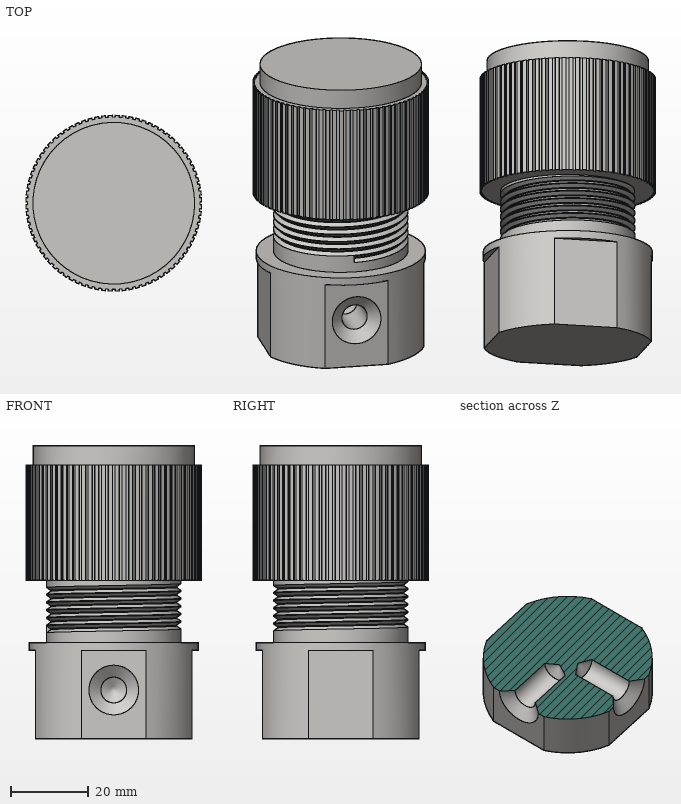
import cadquery as cq
import math

TOTAL_HEIGHT = 76.2
BODY_HEIGHT = 25.0
CAP_HEIGHT = 5.0
KNOB_HEIGHT = 30.0
CAP_BASE_Z = TOTAL_HEIGHT - CAP_HEIGHT
KNOB_BASE_Z = CAP_BASE_Z - KNOB_HEIGHT

BODY_DIAMETER = 44.0
NECK_DIAMETER = 35.0
KNOB_DIAMETER = 45.7
CAP_DIAMETER = 42.0

FLANGE_THICKNESS = 2.0
FLATS_ACROSS = 40.7
FLAT_HEIGHT = BODY_HEIGHT - FLANGE_THICKNESS

PORT_Z = 12.7
PORT_MOUTH_DIAMETER = 12.9
PORT_BORE_DIAMETER = 6.7
PORT_BORE_DEPTH = 15.0
PORT_MOUTH_ANGLE = 100.0
PORT_TIP_ANGLE = 118.0

THREAD_PITCH = 2.0
THREAD_TURNS = 6
THREAD_START_Z = 28.45
THREAD_GROOVE_WIDTH = 1.8
THREAD_ROOT_WIDTH = 0.25
THREAD_GROOVE_DEPTH = 1.1
THREAD_START_ANGLE = 180.0

GRIP_GROOVE_COUNT = 80
GRIP_GROOVE_WIDTH = 0.7
GRIP_GROOVE_DEPTH = 0.45

CLEARANCE = 0.2


def cylinder(diameter, base_z, top_z):
    """Upright cylinder on the Z axis."""
    return cq.Workplane("XY").workplane(offset=base_z).circle(diameter / 2).extrude(top_z - base_z)


def cone_length(large_diameter, small_diameter, included_angle):
    """Axial length of a cone between two diameters."""
    return (large_diameter - small_diameter) / 2 / math.tan(math.radians(included_angle / 2))


def make_port_cutter():
    """Port cutter along X, entering through the -X flat with a drill-point end short of the body axis."""
    mouth_radius = PORT_MOUTH_DIAMETER / 2
    bore_radius = PORT_BORE_DIAMETER / 2
    face_x = -FLATS_ACROSS / 2
    mouth_end_x = face_x + cone_length(PORT_MOUTH_DIAMETER, PORT_BORE_DIAMETER, PORT_MOUTH_ANGLE)
    bore_end_x = face_x + PORT_BORE_DEPTH
    tip_x = bore_end_x + cone_length(PORT_BORE_DIAMETER, 0, PORT_TIP_ANGLE)
    half_profile = (
        cq.Workplane("XZ")
        .moveTo(face_x, 0)
        .lineTo(face_x, mouth_radius)
        .lineTo(mouth_end_x, bore_radius)
        .lineTo(bore_end_x, bore_radius)
        .lineTo(tip_x, 0)
        .close()
    )
    return half_profile.revolve(360, (0, 0, 0), (1, 0, 0)).translate((0, 0, PORT_Z))


def make_body():
    """Round body with four flats under its flange and two ports."""
    flange = cylinder(BODY_DIAMETER, FLAT_HEIGHT, BODY_HEIGHT)
    square = cq.Workplane("XY").rect(FLATS_ACROSS, FLATS_ACROSS).extrude(FLAT_HEIGHT)
    body = cylinder(BODY_DIAMETER, 0, FLAT_HEIGHT).intersect(square).union(flange)
    port = make_port_cutter()
    for turn in (0, 90):
        body = body.cut(port.rotate((0, 0, 0), (0, 0, 1), turn))
    return body


def make_neck():
    """Neck with a right-hand groove of trapezoid section that starts and stops abruptly on the -X side."""
    neck_radius = NECK_DIAMETER / 2
    root_radius = neck_radius - THREAD_GROOVE_DEPTH
    root_half_width = THREAD_ROOT_WIDTH / 2
    flank_slope = (THREAD_GROOVE_WIDTH - THREAD_ROOT_WIDTH) / 2 / THREAD_GROOVE_DEPTH
    mouth_radius = neck_radius + CLEARANCE
    mouth_half_width = root_half_width + flank_slope * (mouth_radius - root_radius)
    path = cq.Workplane(cq.Wire.makeHelix(THREAD_PITCH, THREAD_PITCH * THREAD_TURNS, root_radius))
    groove = (
        cq.Workplane("XZ")
        .moveTo(root_radius, root_half_width)
        .lineTo(mouth_radius, mouth_half_width)
        .lineTo(mouth_radius, -mouth_half_width)
        .lineTo(root_radius, -root_half_width)
        .close()
        .sweep(path, isFrenet=True)
        .rotate((0, 0, 0), (0, 0, 1), THREAD_START_ANGLE)
        .translate((0, 0, THREAD_START_Z))
    )
    return cylinder(NECK_DIAMETER, BODY_HEIGHT, CAP_BASE_Z).cut(groove)


def make_knob():
    """Knob with straight grip grooves and a plain cap on top."""
    groove_centre = (KNOB_DIAMETER - GRIP_GROOVE_DEPTH + CLEARANCE) / 2
    grooves = (
        cq.Workplane("XY")
        .workplane(offset=KNOB_BASE_Z)
        .polarArray(groove_centre, 0, 360, GRIP_GROOVE_COUNT)
        .rect(GRIP_GROOVE_DEPTH + CLEARANCE, GRIP_GROOVE_WIDTH)
        .extrude(KNOB_HEIGHT)
    )
    cap = cylinder(CAP_DIAMETER, CAP_BASE_Z, TOTAL_HEIGHT)
    return cylinder(KNOB_DIAMETER, KNOB_BASE_Z, CAP_BASE_Z).cut(grooves).union(cap)


result = make_body().union(make_neck()).union(make_knob())